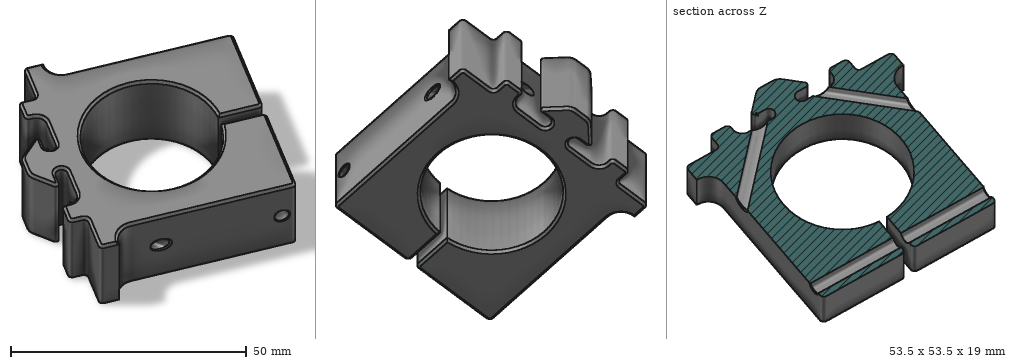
import cadquery as cq

thickness = 19.0
bore_radius = 15.2
wall_behind_bore = 9.96
body_half_width = 22.5
back_y = bore_radius + wall_behind_bore
gap_width = 2.0
face_chamfer = 0.6

selection_margin = 1.0

total_length = 53.45
front_y = back_y - total_length
flange_half_width = 26.735
flange_thickness = 4.3
hook_reach = 8.2
base_y = front_y + hook_reach
flange_back_y = base_y + flange_thickness
flange_root_radius = 4.0
corner_radius = 1.0

foot_inner_x = 12.8
foot_width = 5.0
foot_height = 4.0
foot_outer_x = foot_inner_x + foot_width
foot_y = base_y - foot_height
foot_inner_root_radius = 2.4

slot_radius = 1.37
slot_end_x = 4.2
hook_back_y = base_y - 2 * slot_radius
hook_flat_sharp_half_width = 2.65
hook_nose_radius = 2.8
hook_tip_radius = 0.7
hook_tip_sharp_x = hook_flat_sharp_half_width + hook_back_y - front_y

hole_z = 10.0
clamp_hole_diameter = 3.17
clamp_hole_inset = 3.2
clamp_hole_chamfer = 0.2
slant_hole_diameter = 3.0
slant_hole_chamfer = 0.3
slant_mouth_left_x = 8.3
slant_mouth_right_x = 7.45


def make_half_plate():
    """Right half of the plate, with rounded outline corners but no holes."""
    half = (
        cq.Workplane("XY")
        .moveTo(0, front_y)
        .lineTo(hook_flat_sharp_half_width, front_y)
        .lineTo(hook_tip_sharp_x, hook_back_y)
        .lineTo(slot_end_x, hook_back_y)
        .threePointArc((slot_end_x - slot_radius, base_y - slot_radius), (slot_end_x, base_y))
        .lineTo(foot_inner_x, base_y)
        .lineTo(foot_inner_x, foot_y)
        .lineTo(foot_outer_x, foot_y)
        .lineTo(foot_outer_x, base_y)
        .lineTo(flange_half_width, base_y)
        .lineTo(flange_half_width, flange_back_y)
        .lineTo(body_half_width, flange_back_y)
        .lineTo(body_half_width, back_y)
        .lineTo(gap_width / 2, back_y)
        .lineTo(gap_width / 2, 0)
        .lineTo(0, 0)
        .close()
        .extrude(thickness)
    )
    rounded_corners = [
        (hook_flat_sharp_half_width, front_y, hook_nose_radius),
        (hook_tip_sharp_x, hook_back_y, hook_tip_radius),
        (foot_inner_x, base_y, foot_inner_root_radius),
        (foot_inner_x, foot_y, corner_radius),
        (foot_outer_x, foot_y, corner_radius),
        (foot_outer_x, base_y, corner_radius),
        (flange_half_width, base_y, corner_radius),
        (body_half_width, flange_back_y, flange_root_radius),
        (body_half_width, back_y, corner_radius),
        (gap_width / 2, back_y, corner_radius),
    ]
    for x, y, radius in rounded_corners:
        corner_edge = cq.selectors.NearestToPointSelector((x, y, thickness / 2))
        half = half.edges("|Z").edges(corner_edge).fillet(radius)
    return half


def outline_edges(y_low, y_high):
    """Selector for edges whose centre lies between two Y positions."""
    return cq.selectors.BoxSelector(
        (-flange_half_width - selection_margin, y_low, -selection_margin),
        (flange_half_width + selection_margin, y_high, thickness + selection_margin),
    )


def make_plate():
    """Split clamp plate with its bore and chamfered top and bottom outlines."""
    half = make_half_plate()
    bore = cq.Workplane("XY").circle(bore_radius).extrude(thickness)
    plate = half.union(half.mirror("YZ")).clean().cut(bore)
    front_edges = outline_edges(front_y - selection_margin, flange_back_y - face_chamfer)
    back_edges = outline_edges(flange_back_y - face_chamfer, back_y + selection_margin)
    front_chamfered = plate.faces("<Z or >Z").edges(front_edges).chamfer(face_chamfer)
    back_chamfered = plate.faces("<Z or >Z").edges(back_edges).chamfer(face_chamfer)
    return front_chamfered.intersect(back_chamfered)


def drill_clamp_hole(plate):
    """Clamp screw hole along X through both ears."""
    hole_y = back_y - clamp_hole_inset
    left_mouth = (-body_half_width, hole_y, hole_z)
    right_mouth = (body_half_width, hole_y, hole_z)
    return drill(plate, left_mouth, right_mouth, clamp_hole_diameter)


def drill_slant_hole(plate, side, inner_x):
    """45 degree screw hole from beside the hook to the side wall; side is -1 or 1."""
    run = body_half_width - inner_x
    inner_mouth = (side * inner_x, base_y, hole_z)
    outer_mouth = (side * body_half_width, base_y + run, hole_z)
    return drill(plate, outer_mouth, inner_mouth, slant_hole_diameter)


def chamfer_side_mouths(plate, chamfer, mouth_curve):
    """Chamfer the hole mouths of one curve type in the two side walls."""
    for side in (-1, 1):
        wall_point = (side * body_half_width, 0, thickness / 2)
        side_wall = plate.faces("|X").faces(cq.selectors.NearestToPointSelector(wall_point))
        plate = side_wall.edges("%" + mouth_curve).chamfer(chamfer)
    return plate


def drill(plate, start, end, diameter):
    """Cut a straight round hole that runs out beyond both end points."""
    start_point = cq.Vector(*start)
    travel = cq.Vector(*end) - start_point
    overshoot = travel.normalized() * diameter
    hole_length = travel.Length + 2 * diameter
    tool = cq.Solid.makeCylinder(diameter / 2, hole_length, start_point - overshoot, travel)
    return plate.cut(cq.Workplane(obj=tool))


result = make_plate()
result = drill_clamp_hole(result)
result = drill_slant_hole(result, -1, slant_mouth_left_x)
result = drill_slant_hole(result, 1, slant_mouth_right_x)
result = chamfer_side_mouths(result, clamp_hole_chamfer, "CIRCLE")
result = chamfer_side_mouths(result, slant_hole_chamfer, "ELLIPSE")